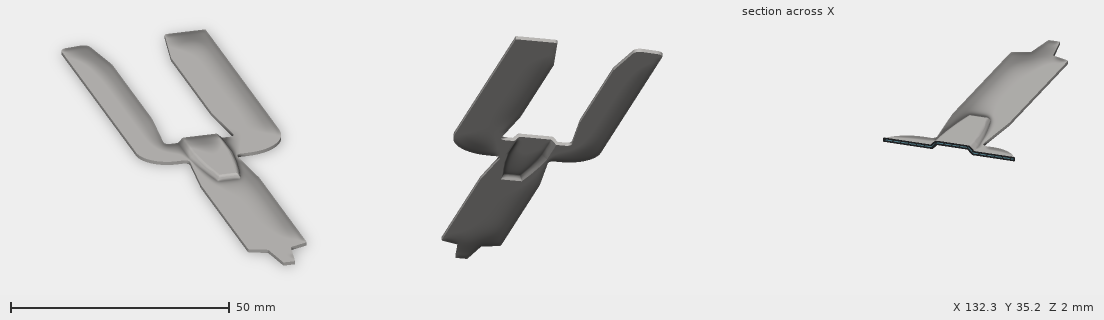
import cadquery as cq
import math

sheet = 0.8
total_height = 2.0
rib_rise = total_height - sheet

length = 132.3
width = 35.2
upper_edge = 19.2
lower_edge = upper_edge - width
slot_end = 60.2
fork_back = 70.1
slot_half = 7.0
upper_corner_radius = 10.6
lower_corner_radius = 7.4
slot_corner_radius = 1.2
neck_radius = 1.2
mouth_start = 13.2
mouth_slope = math.tan(math.radians(10))
root_taper_start = 45.7
taper_slope = 0.1
lower_tip_lean = 0.8
lower_tip_x = 0.5
lower_tip_radius = 1.7
upper_tip_radius = 0.8

blade_half = 7.0
blade_start = 84.7
blade_end = 122.8
blade_corner_radius = 0.5
tang_start = 124.4
tang_root_half = 2.71
tang_tip_half = 1.39

rib_base_half = 5.3
rib_end_half = 2.8
rib_taper_start = 69.5
rib_end = 83.9
rib_bow = 0.3
rib_side_inset = 1.2
rib_nose_inset = 0.5
rib_end_inset = 0.7
rib_edge_radius = 0.8
cavity_edge_radius = 0.4
cavity_inset = sheet * math.tan(math.radians(22.5))


def plate():
    """Flat sheet with the fork arms, the blade and the tang."""
    mouth_half = slot_half + mouth_start * mouth_slope
    lower_mouth_half = slot_half + (mouth_start - lower_tip_x) * mouth_slope
    root_half = slot_half + (slot_end - root_taper_start) * taper_slope
    neck_half = blade_half - (blade_start - fork_back) * taper_slope
    outline = [
        (0, upper_edge),
        (fork_back, upper_edge),
        (fork_back, neck_half),
        (blade_start, blade_half),
        (blade_end, blade_half),
        (tang_start, tang_root_half),
        (length, tang_tip_half),
        (length, -tang_tip_half),
        (tang_start, -tang_root_half),
        (blade_end, -blade_half),
        (blade_start, -blade_half),
        (fork_back, -neck_half),
        (fork_back, lower_edge),
        (lower_tip_x + lower_tip_lean, lower_edge),
        (lower_tip_x, -lower_mouth_half),
        (mouth_start, -slot_half),
        (root_taper_start, -slot_half),
        (slot_end, -root_half),
        (slot_end, root_half),
        (root_taper_start, slot_half),
        (mouth_start, slot_half),
        (0, mouth_half),
    ]
    rounded_corners = [
        (upper_corner_radius, [(fork_back, upper_edge)]),
        (lower_corner_radius, [(fork_back, lower_edge)]),
        (neck_radius, [(fork_back, neck_half), (fork_back, -neck_half)]),
        (slot_corner_radius, [(slot_end, root_half), (slot_end, -root_half)]),
        (blade_corner_radius, [(blade_end, blade_half), (blade_end, -blade_half)]),
        (upper_tip_radius, [(0, mouth_half)]),
        (lower_tip_radius, [
            (lower_tip_x, -lower_mouth_half),
            (lower_tip_x + lower_tip_lean, lower_edge),
        ]),
    ]
    body = cq.Workplane("XY").polyline(outline).close().extrude(sheet)
    for radius, corners in rounded_corners:
        for x, y in corners:
            corner = cq.selectors.NearestToPointSelector((x, y, sheet / 2))
            body = body.edges("|Z").edges(corner).fillet(radius)
    return body


def rib_outline(work, half, end_half, end):
    """Strip with bowed sides that narrow towards its far end."""
    bow_x = (rib_taper_start + end) / 2
    bow_y = (half + end_half) / 2 + rib_bow
    return (
        work.moveTo(slot_end, -half)
        .lineTo(slot_end, half)
        .lineTo(rib_taper_start, half)
        .threePointArc((bow_x, bow_y), (end, end_half))
        .lineTo(end, -end_half)
        .threePointArc((bow_x, -bow_y), (rib_taper_start, -half))
        .close()
    )


def rib_form(bottom, inset):
    """Sloping-sided rib, drawn in by inset all round except at the slot."""
    half = rib_base_half - inset
    end_half = rib_end_half - inset
    end = rib_end - inset
    base = rib_outline(cq.Workplane("XY", origin=(0, 0, bottom)), half, end_half, end)
    both = rib_outline(
        base.workplane(offset=rib_rise),
        half - rib_side_inset,
        end_half - rib_nose_inset,
        end - rib_end_inset,
    )
    return both.loft(ruled=True, combine=True)


rib = rib_form(sheet, 0).faces(">Z").edges("not(<X)").fillet(rib_edge_radius)
cavity = rib_form(0, cavity_inset).faces(">Z").edges("not(<X)").fillet(cavity_edge_radius)
result = plate().union(rib).cut(cavity)